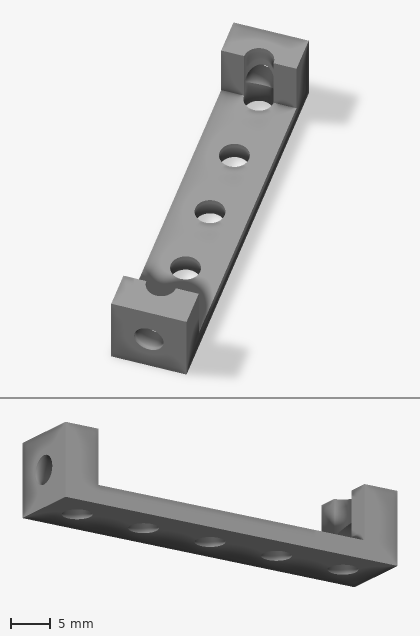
import cadquery as cq

length = 50.0
width = 10.0
height = 10.0
base_thickness = 2.5
end_thickness = 5.0
hole_diameter = 3.9
hole_count = 5
hole_pitch = length / hole_count


def make_body():
    """U-shaped bracket: a flat base with an upright block at each end."""
    block = cq.Workplane("XY").box(width, length, height, centered=(True, True, False))
    gap = (
        cq.Workplane("XY")
        .workplane(offset=base_thickness)
        .rect(width, length - 2 * end_thickness)
        .extrude(height - base_thickness)
    )
    return block.cut(gap)


def make_vertical_holes():
    """Row of through holes; the outer two lie on the inner faces of the end blocks."""
    return (
        cq.Workplane("XY")
        .rarray(width, hole_pitch, 1, hole_count)
        .circle(hole_diameter / 2)
        .extrude(height)
    )


def make_lengthwise_hole():
    """Hole along Y through the centre of both end blocks."""
    return (
        cq.Workplane("XZ", origin=(0, length / 2, height / 2))
        .circle(hole_diameter / 2)
        .extrude(length)
    )


result = make_body().cut(make_vertical_holes()).cut(make_lengthwise_hole())